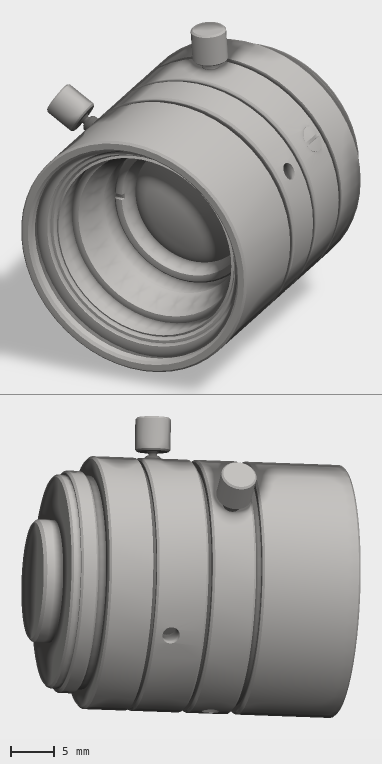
import cadquery as cq
import math


length = 35.51
front_ring_end = 11.45
iris_ring_start, iris_ring_end = 12.2, 17.25
focus_ring_start, focus_ring_end = 17.75, 23.75
rear_ring_start, rear_ring_end = 24.25, 29.3
thread_start, thread_end = 30.25, 32.25
pilot_end = 33.3

ring_radius = 14.5
front_groove_radius = 13.5
rear_groove_radius = 13.75
pilot_radius = 12.25
thread_radius = 12.75
tail_radius = 7.04
bevel = 0.25
tail_bevel = 0.35

mouth_radius = 13.5
filter_radius = 13.2
relief_radius = 13.6
relief_start = 1.2
filter_depth = 2.4
seat_radius = 12.25
seat_bevel = 0.25
seat_depth = 2.75
vee_radius = 11.65
bore_radius = 11.1
vee_bottom_radius = 11.37
vee_depth = 0.4
bore_setback = 0.25
bore_start = seat_depth + bore_setback
bore_depth = 6.4
funnel_radius = 10.25
funnel_end_radius = 9.0
funnel_end = 10.2
retainer_depth = 12.9
retainer_bevel = 0.22
retainer_radius = 8.0
retainer_slot_width = 0.66
retainer_slot_depth = 0.5
lens_radius = 7.25
lens_edge_depth = 14.9
lens_sphere_radius = 15.0

hole_spacing = 120
hole_radius = 1.0
hole_depth = 2.5
iris_hole_station = 14.75
iris_screw_angle = 150
iris_knob_top = 19.85
focus_hole_station = 21.7
focus_screw_angle = 94
focus_knob_top = 19.25
knob_radius = 2.04
knob_length = 3.9
knob_bevel = 0.2
neck_radius = 0.5
neck_flare = 0.25
neck_length = 0.5
stud_bevel = 0.3
stud_end = 13.0

cap_radius = 1.55
cap_base = 14.0
cap_edge = 14.5
cap_top = 14.7
cap_slot_width = 0.4
cap_slot_length = 3 * cap_radius
dome_rise = cap_top - cap_edge
cap_slot_depth = dome_rise


def beveled_band(radius, start, end, size):
    """Profile points of a cylinder from start to end with both edges beveled."""
    return [
        (radius - size, start),
        (radius, start + size),
        (radius, end - size),
        (radius - size, end),
    ]


def groove(radius, start, end):
    """Profile points of a plain band between two rings."""
    return [(radius, start), (radius, end)]


def make_barrel():
    """The turned barrel, with its cavity and the front face of the lens."""
    outside = (
        beveled_band(ring_radius, 0, front_ring_end, bevel)
        + groove(front_groove_radius, front_ring_end, iris_ring_start)
        + beveled_band(ring_radius, iris_ring_start, iris_ring_end, bevel)
        + groove(front_groove_radius, iris_ring_end, focus_ring_start)
        + beveled_band(ring_radius, focus_ring_start, focus_ring_end, bevel)
        + groove(rear_groove_radius, focus_ring_end, rear_ring_start)
        + [(ring_radius, rear_ring_start)]
        + [(ring_radius, rear_ring_end - bevel), (ring_radius - bevel, rear_ring_end)]
        + groove(pilot_radius, rear_ring_end, thread_start)
        + beveled_band(thread_radius, thread_start, thread_end, bevel)
        + [(pilot_radius, thread_end)]
        + [(pilot_radius, pilot_end - bevel), (pilot_radius - bevel, pilot_end)]
        + [(tail_radius, pilot_end)]
        + [(tail_radius, length - tail_bevel), (tail_radius - tail_bevel, length)]
        + [(0, length)]
    )
    lens_sag = lens_sphere_radius - math.sqrt(lens_sphere_radius**2 - lens_radius**2)
    lens_apex = lens_edge_depth - lens_sag
    half_angle = math.asin(lens_radius / lens_sphere_radius) / 2
    lens_middle = (
        lens_sphere_radius * math.sin(half_angle),
        lens_apex + lens_sphere_radius * (1 - math.cos(half_angle)),
    )
    inside = [
        (retainer_radius, retainer_depth),
        (funnel_end_radius - retainer_bevel, retainer_depth),
        (funnel_end_radius, retainer_depth + retainer_bevel),
        (funnel_end_radius, funnel_end),
        (funnel_radius, bore_depth),
        (bore_radius, bore_depth),
        (bore_radius, bore_start),
        (vee_bottom_radius, seat_depth + vee_depth),
        (vee_radius, seat_depth),
        (seat_radius - seat_bevel, seat_depth),
        (seat_radius, seat_depth - seat_bevel),
        (seat_radius, filter_depth),
        (relief_radius, filter_depth),
        (relief_radius, relief_start),
        (filter_radius, relief_start),
        (filter_radius, mouth_radius - filter_radius),
        (mouth_radius, 0),
    ]
    profile = (
        cq.Workplane("XY")
        .moveTo(0, lens_apex)
        .threePointArc(lens_middle, (lens_radius, lens_edge_depth))
    )
    for point in inside + outside:
        profile = profile.lineTo(*point)
    return profile.close().revolve(360, (0, 0), (0, 1))


def make_retainer_slot():
    """The cutter for a spanner slot across the lens retaining ring, along +X."""
    slot_length = funnel_end_radius - lens_radius
    return (
        cq.Workplane("XY")
        .box(slot_length, retainer_slot_depth, retainer_slot_width, centered=(False, False, True))
        .translate((lens_radius, 0, 0))
    )


def place(shape, station, angle):
    """Turn a shape built along +X to point radially at the given angle from +X towards +Z."""
    return shape.rotate((0, 0, 0), (0, 1, 0), -angle).translate((0, station, 0))


def make_knob_screw(knob_top):
    """A knob on a thin neck above a threaded stud, along +X."""
    knob_base = knob_top - knob_length
    stud_top = knob_base - neck_length
    outline = [
        (stud_end, 0),
        (stud_end, hole_radius),
        (stud_top - stud_bevel, hole_radius),
        (stud_top, hole_radius - stud_bevel),
        (stud_top, neck_radius),
        (knob_base - neck_flare, neck_radius),
        (knob_base, neck_radius + neck_flare),
        (knob_base, knob_radius - knob_bevel),
        (knob_base + knob_bevel, knob_radius),
        (knob_top - knob_bevel, knob_radius),
        (knob_top, knob_radius - knob_bevel),
        (knob_top, 0),
    ]
    return cq.Workplane("XY").polyline(outline).close().revolve(360, (0, 0), (1, 0))


def make_hole():
    """A blind radial hole from the ring surface, along +X."""
    return (
        cq.Workplane("YZ", origin=(ring_radius - hole_depth, 0, 0))
        .circle(hole_radius)
        .extrude(2 * hole_depth)
    )


def make_cap():
    """A low domed cap rising just above the ring surface, along +X."""
    dome_radius = (cap_radius**2 + dome_rise**2) / (2 * dome_rise)
    half_angle = math.asin(cap_radius / dome_radius) / 2
    middle = (
        cap_top - dome_radius * (1 - math.cos(half_angle)),
        dome_radius * math.sin(half_angle),
    )
    return (
        cq.Workplane("XY")
        .moveTo(cap_base, 0)
        .lineTo(cap_base, cap_radius)
        .lineTo(cap_edge, cap_radius)
        .threePointArc(middle, (cap_top, 0))
        .close()
        .revolve(360, (0, 0), (1, 0))
    )


def make_cap_slot():
    """The cutter for the cap's slot: it runs along Y, and its cap points along +X."""
    return (
        cq.Workplane("XY")
        .box(2 * cap_slot_depth, cap_slot_length, cap_slot_width)
        .translate((cap_top, 0, 0))
    )


result = make_barrel()

for slot_angle in (0, 180):
    result = result.cut(place(make_retainer_slot(), retainer_depth, slot_angle))

result = result.union(place(make_knob_screw(iris_knob_top), iris_hole_station, iris_screw_angle))
for step in (1, 2):
    hole_angle = iris_screw_angle + step * hole_spacing
    result = result.cut(place(make_hole(), iris_hole_station, hole_angle))

open_angle = focus_screw_angle + hole_spacing
cap_angle = focus_screw_angle - hole_spacing / 2
result = result.union(place(make_knob_screw(focus_knob_top), focus_hole_station, focus_screw_angle))
result = result.cut(place(make_hole(), focus_hole_station, open_angle))
result = result.union(place(make_cap(), focus_hole_station, cap_angle))
result = result.cut(place(make_cap_slot(), focus_hole_station, cap_angle))